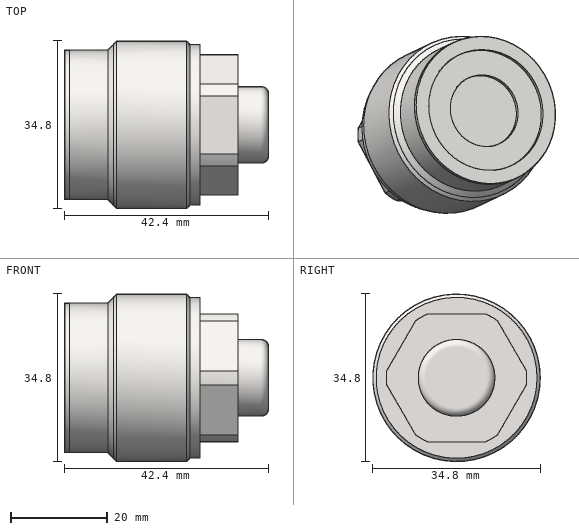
import cadquery as cq
import math

total_length = 42.35
rim_end = 0.97
neck_end = 8.98
flange_end = 28.1
hex_end = 36.0
grip_end = 25.3

rim_radius = 15.5
neck_radius = 15.55
flange_radius = 16.7
grip_radius = 34.75 / 2
stub_radius = 7.95
recess_radius = 12.7
pocket_radius = 7.55
hex_corner_radius = 14.55

hex_across_flats = 26.55
recess_depth = rim_end
pocket_depth = 0.97
stub_edge_radius = 1.55

shoulder_end = neck_end + flange_radius - neck_radius
grip_start = shoulder_end + grip_radius - flange_radius
grip_slope_end = grip_end + grip_radius - flange_radius


def cylinder(start, end, radius):
    """Cylinder along X between two positions."""
    return cq.Workplane("YZ").workplane(offset=start).circle(radius).extrude(end - start)


def turn(outline):
    """Solid of revolution about X from a closed outline of (x, radius) points."""
    return cq.Workplane("XY").polyline(outline).close().revolve(360, (0, 0, 0), (1, 0, 0))


def make_barrel():
    """Turned front part of the core: rim, neck, sloped shoulder and flange."""
    return turn([
        (0, 0),
        (0, rim_radius),
        (rim_end, rim_radius),
        (rim_end, neck_radius),
        (neck_end, neck_radius),
        (shoulder_end, flange_radius),
        (flange_end, flange_radius),
        (flange_end, 0),
    ])


def make_hex():
    """Hexagon with flats facing up and down and corners rounded about the axis."""
    corner_diameter = hex_across_flats / math.cos(math.pi / 6)
    prism = (
        cq.Workplane("YZ")
        .workplane(offset=flange_end)
        .polygon(6, corner_diameter)
        .extrude(hex_end - flange_end)
    )
    return prism.intersect(cylinder(flange_end, hex_end, hex_corner_radius))


def make_stub():
    """Round stub behind the hexagon, with a rounded end edge."""
    return cylinder(hex_end, total_length, stub_radius).faces(">X").edges().fillet(stub_edge_radius)


def make_core():
    """Barrel, hexagon and stub in one solid, with a stepped recess in the front face."""
    recess = cylinder(0, recess_depth, recess_radius)
    pocket = cylinder(recess_depth, recess_depth + pocket_depth, pocket_radius)
    return make_barrel().union(make_hex()).union(make_stub()).cut(recess).cut(pocket)


def make_grip():
    """Grip ring around the core, sloped to nothing at both ends."""
    return turn([
        (shoulder_end, flange_radius),
        (grip_start, grip_radius),
        (grip_end, grip_radius),
        (grip_slope_end, flange_radius),
    ])


core = make_core()
grip = make_grip()

result = cq.Compound.makeCompound([core.val(), grip.val()])